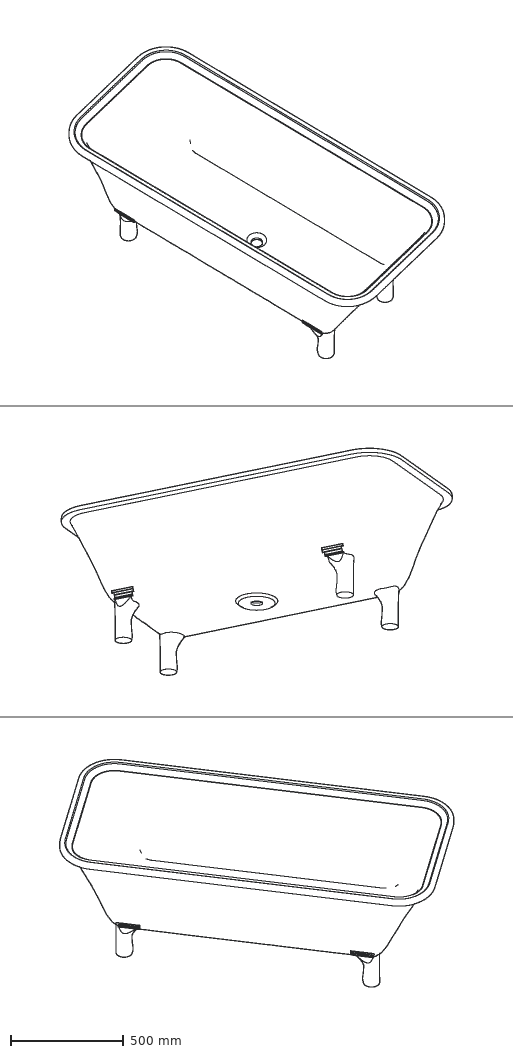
import cadquery as cq
import math

rim_top = 615.0
rim_height = 22.0
rim_bottom = rim_top - rim_height
rim_half_length = 850.0
rim_half_width = 380.81
rim_corner_radius = 163.0
rim_edge_fillet = 5.0

step_inset = 23.0
step_depth = 5.0
ledge_width = 10.0
lip_clearance = 0.5
mouth_edge = 3.0

ledge_inset = step_inset + step_depth
lip_inset = ledge_inset + ledge_width
ledge_level = rim_top - step_depth
lip_radius = ledge_level - rim_bottom - lip_clearance
mouth_inset = lip_inset + lip_radius
wall_inset = mouth_inset + mouth_edge

floor_thickness = 15.0
floor_level = 167.0
floor_fall = 10.0
floor_half_length = 545.0
floor_half_width = 232.0
floor_corner_radius = 25.0
inner_floor_half_length = 540.0
inner_floor_half_width = 228.0
inner_floor_level = floor_level + floor_thickness

wall_top_half_length = 808.0
wall_top_half_width = 341.0
wall_top_corner_radius = 118.0
bend_level = 240.0
bend_corner_radius = 46.0
end_taper = 0.487
side_taper = 0.165
wall_spans = 4

bend_middle_half_length = 603.0
bend_middle_half_width = 263.0
bend_middle_corner_radius = 30.0
bend_middle_level = 190.0

bend_lift = 12.0

end_wall = wall_top_half_length - (rim_half_length - wall_inset)
side_wall = wall_top_half_width - (rim_half_width - wall_inset)
inner_corner_reduction = wall_top_corner_radius - (rim_corner_radius - wall_inset)

drain_top_radius = 94.0
drain_bottom_radius = 82.0
drain_height = 11.0
drain_hole_radius = 26.0
drain_funnel_radius = 44.0
drain_level = floor_level - floor_fall
funnel_level = inner_floor_level - floor_fall
drain_fan_centre = math.radians(22.0)
drain_fan_half = math.radians(3.0)

leg_x = 561.0
leg_y = 211.6
leg_radius = 37.0
leg_straight_top = 105.0
leg_neck_level = 147.0
leg_neck_radius = 47.5
leg_top = 188.0
leg_top_radius = 63.0
leg_face_y = 258.5
leg_end_x = leg_x + leg_radius

pad_steps = [
    (487.0, 580.0, 263.0, 183.0, leg_top),
    (487.0, 575.0, 269.0, leg_top, 199.0),
    (478.0, 575.0, 275.5, 199.0, 209.0),
    (478.0, 585.0, 280.0, 209.0, 219.0),
]


def arc_point(centre, radius, angle):
    return centre + cq.Vector(radius * math.cos(angle), radius * math.sin(angle), 0)


def arc(centre, radius, start, end):
    """Level arc between two angles."""
    points = [arc_point(centre, radius, angle) for angle in (start, (start + end) / 2, end)]
    return cq.Edge.makeThreePointArc(*points)


def rounded_rectangle(half_length, half_width, radius, level):
    """Closed level wire of four corner arcs and four sides."""
    quarter = math.pi / 2
    corners = []
    for i, (side_x, side_y) in enumerate([(1, 1), (-1, 1), (-1, -1), (1, -1)]):
        centre = cq.Vector(side_x * (half_length - radius), side_y * (half_width - radius), level)
        corners.append(arc(centre, radius, i * quarter, (i + 1) * quarter))
    edges = []
    for corner, next_corner in zip(corners, corners[1:] + corners[:1]):
        edges.append(corner)
        edges.append(cq.Edge.makeLine(corner.endPoint(), next_corner.startPoint()))
    return cq.Wire.assembleEdges(edges)


def fan_circle(radius, level):
    """Circle split into eight arcs that pair with the edges of a rounded rectangle."""
    centre = cq.Vector(0, 0, level)
    fans = [drain_fan_centre, math.pi - drain_fan_centre]
    fans += [fan + math.pi for fan in fans]
    splits = []
    for fan in fans:
        splits += [fan - drain_fan_half, fan + drain_fan_half]
    splits.append(splits[0] + 2 * math.pi)
    return cq.Wire.assembleEdges([arc(centre, radius, a, b) for a, b in zip(splits, splits[1:])])


def loft(wires, ruled=False):
    return cq.Workplane(obj=cq.Solid.makeLoft(wires, ruled))


def rim_outline(inset, level):
    return rounded_rectangle(
        rim_half_length - inset, rim_half_width - inset, rim_corner_radius - inset, level
    )


def rim_prism(inset, bottom, top):
    return loft([rim_outline(inset, bottom), rim_outline(inset, top)], True)


def make_rim():
    ledge = rim_prism(0, rim_bottom, ledge_level).cut(rim_prism(mouth_inset, rim_bottom, ledge_level))
    mouth_edges = ledge.faces(">Z").val().innerWires()[0].Edges()
    ledge = ledge.newObject(mouth_edges).fillet(lip_radius)

    step = loft([rim_outline(ledge_inset, ledge_level), rim_outline(step_inset, rim_top)], True)
    rim = ledge.union(rim_prism(0, ledge_level, rim_top).cut(step))
    outer_edges = rim.faces(">Z").val().outerWire().Edges()
    return rim.newObject(outer_edges).fillet(rim_edge_fillet)


def wall_section(level, end_inset=0, side_inset=0, radius_reduction=0):
    """Level section through the straight part of the wall."""
    drop = rim_bottom - level
    fraction = drop / (rim_bottom - bend_level)
    radius = wall_top_corner_radius - (wall_top_corner_radius - bend_corner_radius) * fraction**2
    return rounded_rectangle(
        wall_top_half_length - end_taper * drop - end_inset,
        wall_top_half_width - side_taper * drop - side_inset,
        radius - radius_reduction,
        level,
    )


def wall_levels():
    span = (rim_bottom - bend_level) / wall_spans
    return [bend_level + i * span for i in range(wall_spans + 1)]


def make_shell_outside():
    floor = rounded_rectangle(floor_half_length, floor_half_width, floor_corner_radius, floor_level)
    bend = rounded_rectangle(
        bend_middle_half_length, bend_middle_half_width, bend_middle_corner_radius, bend_middle_level
    )
    walls = [wall_section(level) for level in wall_levels()]
    basin = loft([floor, bend] + walls)
    slope = loft([fan_circle(drain_top_radius, drain_level), floor], True)
    return basin.union(slope)


def make_cavity():
    floor = rounded_rectangle(
        inner_floor_half_length, inner_floor_half_width, floor_corner_radius, inner_floor_level
    )
    bend = rounded_rectangle(
        bend_middle_half_length - end_wall,
        bend_middle_half_width - side_wall,
        bend_middle_corner_radius - inner_corner_reduction,
        bend_middle_level + bend_lift,
    )
    walls = [
        wall_section(level, end_wall, side_wall, inner_corner_reduction) for level in wall_levels()
    ]
    basin = loft([floor, bend] + walls)
    slope = loft([fan_circle(drain_funnel_radius, funnel_level), floor], True)
    funnel = cq.Workplane(
        obj=cq.Solid.makeCone(
            drain_hole_radius,
            drain_funnel_radius,
            funnel_level - drain_level,
            cq.Vector(0, 0, drain_level),
        )
    )
    return basin.union(slope).union(funnel)


def make_drain():
    cone = cq.Solid.makeCone(
        drain_bottom_radius, drain_top_radius, drain_height, cq.Vector(0, 0, drain_level - drain_height)
    )
    return cq.Workplane(obj=cone).faces("<Z").workplane().circle(drain_hole_radius).cutThruAll()


def leg_circle(radius, level):
    """Circle that keeps touching the upright line at the end of the tub."""
    return cq.Wire.makeCircle(radius, cq.Vector(leg_end_x - radius, leg_y, level), cq.Vector(0, 0, 1))


def make_leg():
    """Leg at the +X +Y corner, before the basin is taken out of its head."""
    column = loft(
        [
            leg_circle(leg_radius, 0),
            leg_circle(leg_radius, leg_straight_top / 2),
            leg_circle(leg_radius, leg_straight_top),
            leg_circle(leg_neck_radius, leg_neck_level),
            leg_circle(leg_top_radius, leg_top),
        ]
    )
    bounds = cq.Workplane().box(leg_end_x + leg_radius, leg_face_y, leg_top, centered=False)
    leg = column.intersect(bounds)
    for inner_x, outer_x, outer_y, bottom, top in pad_steps:
        step = cq.Workplane().box(
            outer_x - inner_x, outer_y - leg_y, top - bottom, centered=False
        ).translate((inner_x, leg_y, bottom))
        leg = leg.union(step)
    return leg


shell_outside = make_shell_outside()
tub = shell_outside.cut(make_cavity()).union(make_rim())
drain = make_drain()

corner_leg = make_leg().cut(shell_outside)
legs = []
for side_leg in (corner_leg, corner_leg.mirror("XZ")):
    legs += [side_leg.solids().val(), side_leg.mirror("YZ").solids().val()]

result = cq.Compound.makeCompound([tub.solids().val(), drain.solids().val(), *legs])